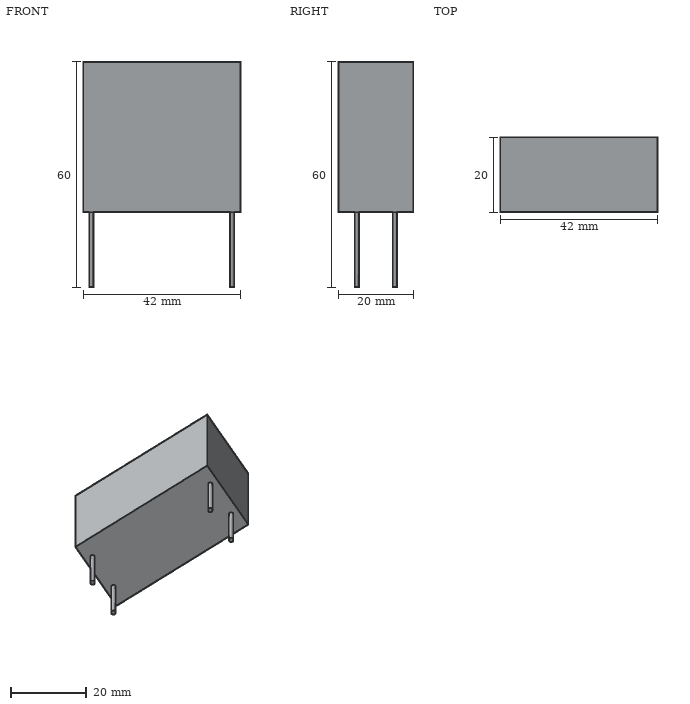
import cadquery as cq

total_height = 60.0
body_length = 42.0
body_width = 20.0

pin_diameter = 1.2
pin_length = total_height / 3
pin_spacing_x = 37.5
pin_spacing_y = 10.15

body_height = total_height - pin_length

body = cq.Workplane("XY").box(
    body_length, body_width, body_height, centered=(True, True, False)
)

pins = (
    cq.Workplane("XY")
    .rect(pin_spacing_x, pin_spacing_y, forConstruction=True)
    .vertices()
    .circle(pin_diameter / 2)
    .extrude(-pin_length)
)

result = body.union(pins)